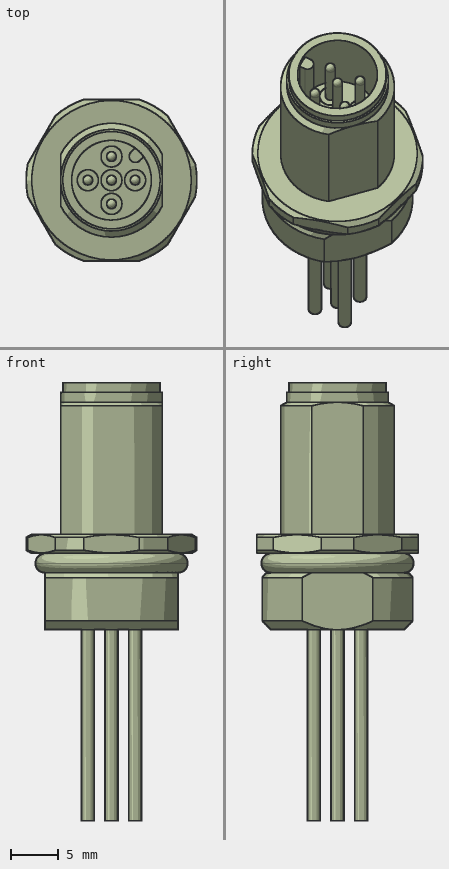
import cadquery as cq
import math

TOTAL_HEIGHT = 46.1
RIM_HEIGHT = 1.0
COLLAR_HEIGHT = 1.05
NUT_TOP_DEPTH = 15.95
NUT_THICKNESS = 2.05
RING_TUBE_RADIUS = 1.0
BODY_HEIGHT = 6.0

rim_base_z = TOTAL_HEIGHT - RIM_HEIGHT
collar_base_z = rim_base_z - COLLAR_HEIGHT
nut_top_z = TOTAL_HEIGHT - NUT_TOP_DEPTH
nut_base_z = nut_top_z - NUT_THICKNESS
ring_z = nut_base_z - RING_TUBE_RADIUS
body_top_z = ring_z - RING_TUBE_RADIUS
body_base_z = body_top_z - BODY_HEIGHT

RIM_RADIUS = 5.1
COLLAR_RADIUS = 5.35
BARREL_RADIUS = 6.0
BARREL_CHAMFER_HEIGHT = 0.35
BORE_RADIUS = 4.2
BORE_DEPTH = 8.3
floor_z = TOTAL_HEIGHT - BORE_DEPTH

NUT_SIDES = 6
NUT_ACROSS_FLATS = 17.0
NUT_CORNER_RADIUS = 9.0
NUT_FACE_RADIUS = 8.4
NUT_CHAMFER_ANGLE = 30.0

RING_OUTER_RADIUS = 8.0
ring_centre_radius = RING_OUTER_RADIUS - RING_TUBE_RADIUS

BODY_RADIUS = 7.95
BODY_TOP_RADIUS = 7.5
BODY_FLAT_DISTANCE = 7.0
BODY_TOP_CHAMFER_HEIGHT = 0.5
BODY_BASE_CHAMFER = 0.9

OUTER_CONTACT_COUNT = 4
CONTACT_PITCH_RADIUS = 2.5
PIN_RADIUS = 0.5
CENTRE_PIN_TIP_DEPTH = 1.2
OUTER_PIN_TIP_DEPTH = 2.07
WIRE_RADIUS = 0.7
WIRE_OVERLAP = 0.45
SLEEVE_RADIUS = 1.1
SLEEVE_HEIGHT = 0.05

KEY_ANGLE = 45.0
KEY_WIDTH = 1.3
KEY_CENTRE_RADIUS = 3.55
KEY_TOP_DEPTH = 0.55


def cylinder(radius, base_z, top_z, x=0.0, y=0.0):
    """Upright cylinder between two heights."""
    disc = cq.Workplane("XY", origin=(x, y, base_z)).circle(radius)
    return disc.extrude(top_z - base_z)


def turned(points):
    """Solid of revolution about Z from (radius, height) points."""
    return cq.Workplane("XZ").polyline(points).close().revolve(360, (0, 0, 0), (0, 1, 0))


def flat_slab(distance, base_z, top_z):
    """Slab whose X faces lie at +/- distance and that is wider than the part in Y."""
    width = 2 * NUT_ACROSS_FLATS
    slab = cq.Workplane("XY", origin=(0, 0, base_z)).rect(2 * distance, width)
    return slab.extrude(top_z - base_z)


def make_barrel():
    barrel = turned([
        (0, nut_base_z),
        (BARREL_RADIUS, nut_base_z),
        (BARREL_RADIUS, collar_base_z - BARREL_CHAMFER_HEIGHT),
        (COLLAR_RADIUS, collar_base_z),
        (COLLAR_RADIUS, rim_base_z),
        (RIM_RADIUS, rim_base_z),
        (RIM_RADIUS, TOTAL_HEIGHT),
        (0, TOTAL_HEIGHT),
    ])
    barrel = barrel.intersect(flat_slab(COLLAR_RADIUS, nut_base_z, TOTAL_HEIGHT))
    return barrel.cut(cylinder(BORE_RADIUS, floor_z, TOTAL_HEIGHT))


def make_nut():
    across_corners = NUT_ACROSS_FLATS / math.cos(math.pi / NUT_SIDES)
    hexagon = cq.Workplane("XY", origin=(0, 0, nut_base_z)).polygon(NUT_SIDES, across_corners)
    chamfer_width = NUT_CORNER_RADIUS - NUT_FACE_RADIUS
    chamfer_height = chamfer_width * math.tan(math.radians(NUT_CHAMFER_ANGLE))
    envelope = turned([
        (0, nut_base_z),
        (NUT_FACE_RADIUS, nut_base_z),
        (NUT_CORNER_RADIUS, nut_base_z + chamfer_height),
        (NUT_CORNER_RADIUS, nut_top_z - chamfer_height),
        (NUT_FACE_RADIUS, nut_top_z),
        (0, nut_top_z),
    ])
    return hexagon.extrude(NUT_THICKNESS).intersect(envelope)


def make_sealing_ring():
    section = cq.Workplane("XZ").center(ring_centre_radius, ring_z).circle(RING_TUBE_RADIUS)
    ring = section.revolve(360, (-ring_centre_radius, 0, 0), (-ring_centre_radius, 1, 0))
    return ring.union(cylinder(ring_centre_radius, body_top_z, nut_base_z))


def make_body():
    body = turned([
        (0, body_base_z),
        (BODY_RADIUS - BODY_BASE_CHAMFER, body_base_z),
        (BODY_RADIUS, body_base_z + BODY_BASE_CHAMFER),
        (BODY_RADIUS, body_top_z - BODY_TOP_CHAMFER_HEIGHT),
        (BODY_TOP_RADIUS, body_top_z),
        (0, body_top_z),
    ])
    return body.intersect(flat_slab(BODY_FLAT_DISTANCE, body_base_z, body_top_z))


def make_contact(x, y, tip_depth):
    """Round-tipped pin in a low sleeve on the bore floor, and the wire below the body."""
    tip_centre_z = TOTAL_HEIGHT - tip_depth - PIN_RADIUS
    pin = cylinder(PIN_RADIUS, floor_z, tip_centre_z, x, y)
    pin = pin.union(cq.Workplane("XY", origin=(x, y, tip_centre_z)).sphere(PIN_RADIUS))
    sleeve = cylinder(SLEEVE_RADIUS, floor_z, floor_z + SLEEVE_HEIGHT, x, y)
    wire = cylinder(WIRE_RADIUS, 0, body_base_z + WIRE_OVERLAP, x, y)
    return pin.union(sleeve).union(wire)


def make_key():
    """Rib with a rounded inner edge, running down the bore wall."""
    half_width = KEY_WIDTH / 2
    embedded_radius = (BORE_RADIUS + RIM_RADIUS) / 2
    key = (
        cq.Workplane("XY", origin=(0, 0, floor_z))
        .moveTo(embedded_radius, half_width)
        .lineTo(KEY_CENTRE_RADIUS, half_width)
        .threePointArc((KEY_CENTRE_RADIUS - half_width, 0), (KEY_CENTRE_RADIUS, -half_width))
        .lineTo(embedded_radius, -half_width)
        .close()
        .extrude(BORE_DEPTH - KEY_TOP_DEPTH)
    )
    return key.rotate((0, 0, 0), (0, 0, 1), KEY_ANGLE)


result = make_body().union(make_sealing_ring()).union(make_nut()).union(make_barrel())
result = result.union(make_key())
result = result.union(make_contact(0, 0, CENTRE_PIN_TIP_DEPTH))
for index in range(OUTER_CONTACT_COUNT):
    angle = index * 2 * math.pi / OUTER_CONTACT_COUNT
    contact_x = CONTACT_PITCH_RADIUS * math.cos(angle)
    contact_y = CONTACT_PITCH_RADIUS * math.sin(angle)
    result = result.union(make_contact(contact_x, contact_y, OUTER_PIN_TIP_DEPTH))